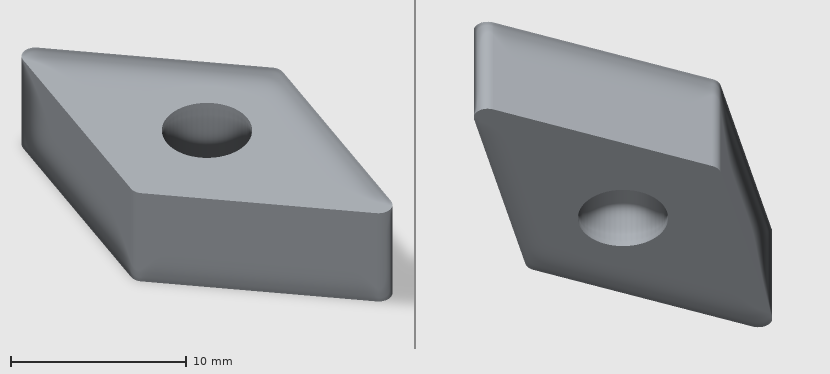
import cadquery as cq
import math

length = 22.92
width = 12.7
thickness = 6.35
acute_angle = math.radians(55)
hole_diameter = 5.15

side = width / math.sin(acute_angle)
lean = width / math.tan(acute_angle)
sharp_length = side + lean

trim_per_radius = 1 / math.tan(acute_angle / 2) - 1
corner_radius = (sharp_length - length) / (2 * trim_per_radius)

corners = [
    (-sharp_length / 2, -width / 2),
    (-sharp_length / 2 + side, -width / 2),
    (sharp_length / 2, width / 2),
    (sharp_length / 2 - side, width / 2),
]

plate = (
    cq.Workplane("XY")
    .polyline(corners)
    .close()
    .extrude(thickness)
    .edges("|Z")
    .fillet(corner_radius)
)

result = plate.faces(">Z").workplane(origin=(0, 0, 0)).hole(hole_diameter)